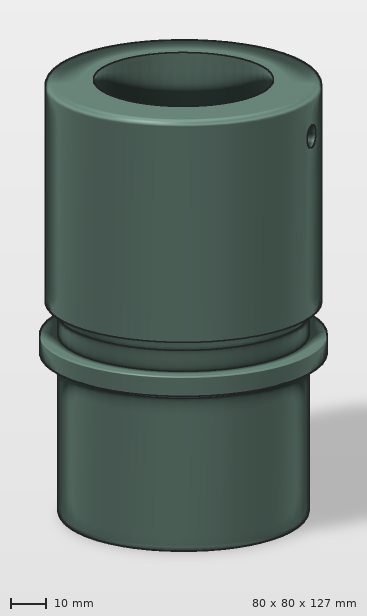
import cadquery as cq

total_height = 127.0
spigot_top = 45.1
collar_bottom = 47.1
collar_top = 53.0
neck_top = 59.0
body_bottom = 62.5

bore_diameter = 50.0
body_diameter = 77.0
spigot_diameter = 70.0
collar_diameter = 80.0

relief_depth = 0.8

end_round = 2.0
collar_round = 0.5

hole_diameter = 6.5
hole_height = 114.9

bore_radius = bore_diameter / 2
body_radius = body_diameter / 2
spigot_radius = spigot_diameter / 2
collar_radius = collar_diameter / 2
relief_radius = spigot_radius - relief_depth


def make_sleeve():
    """Revolve the half section (radius, height) about the Z axis, bore included."""
    section = (
        cq.Workplane("XZ")
        .moveTo(bore_radius, 0)
        .lineTo(spigot_radius - end_round, 0)
        .radiusArc((spigot_radius, end_round), -end_round)
        .lineTo(spigot_radius, spigot_top)
        .radiusArc((relief_radius, spigot_top + relief_depth), relief_depth)
        .lineTo(relief_radius, collar_bottom)
        .lineTo(collar_radius - collar_round, collar_bottom)
        .radiusArc((collar_radius, collar_bottom + collar_round), -collar_round)
        .lineTo(collar_radius, collar_top - collar_round)
        .radiusArc((collar_radius - collar_round, collar_top), -collar_round)
        .lineTo(spigot_radius, collar_top)
        .lineTo(spigot_radius, neck_top)
        .lineTo(body_radius, body_bottom)
        .lineTo(body_radius, total_height - end_round)
        .radiusArc((body_radius - end_round, total_height), -end_round)
        .lineTo(bore_radius, total_height)
        .close()
    )
    return section.revolve(360, (0, 0, 0), (0, 1, 0))


def make_radial_hole():
    """Cutter running from the axis out through the +X wall only."""
    return (
        cq.Workplane("YZ")
        .center(0, hole_height)
        .circle(hole_diameter / 2)
        .extrude(collar_radius)
    )


result = make_sleeve().cut(make_radial_hole())